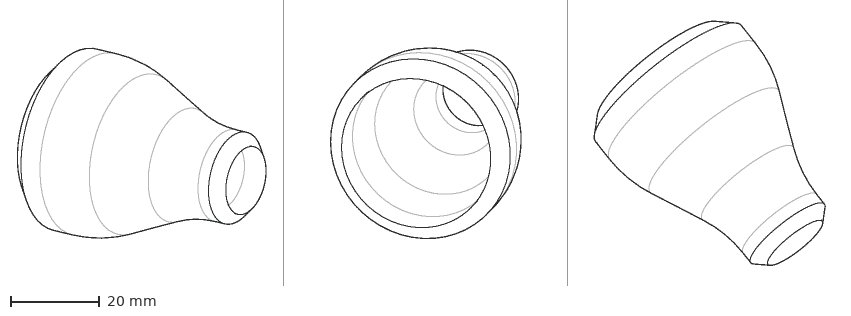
import cadquery as cq
import math

length = 51.0
large_outer_radius = 21.09
small_outer_radius = 10.65
large_bore_radius = 17.5
small_bore_radius = 7.85

outer_large_neck_end = 8.85
outer_cone_start_x = 20.75
outer_cone_end_x = 33.25
outer_small_neck_start = 45.3
bore_large_neck_end = 9.2
bore_cone_start_x = 20.25
bore_cone_end_x = 33.9
bore_small_neck_start = 45.0

outer_cone_start_radius = 18.55
outer_cone_end_radius = 13.15
bore_cone_start_radius = 15.35
bore_cone_end_radius = 10.0

large_bevel = large_outer_radius - large_bore_radius
small_bevel = small_outer_radius - small_bore_radius


def bend_middle(neck_point, cone_point):
    """Middle of the arc that leaves the neck parallel to the axis and ends at the cone."""
    run = cone_point[0] - neck_point[0]
    rise = cone_point[1] - neck_point[1]
    bend_radius = (run**2 + rise**2) / (2 * abs(rise))
    half_turn = math.atan2(abs(rise), abs(run))
    return (
        neck_point[0] + math.copysign(bend_radius * math.sin(half_turn), run),
        neck_point[1] + math.copysign(bend_radius * (1 - math.cos(half_turn)), rise),
    )


outer_large = (outer_large_neck_end, large_outer_radius)
outer_cone_start = (outer_cone_start_x, outer_cone_start_radius)
outer_cone_end = (outer_cone_end_x, outer_cone_end_radius)
outer_small = (outer_small_neck_start, small_outer_radius)
bore_large = (bore_large_neck_end, large_bore_radius)
bore_cone_start = (bore_cone_start_x, bore_cone_start_radius)
bore_cone_end = (bore_cone_end_x, bore_cone_end_radius)
bore_small = (bore_small_neck_start, small_bore_radius)

wall_profile = (
    cq.Workplane("XY")
    .moveTo(0, large_bore_radius)
    .lineTo(large_bevel, large_outer_radius)
    .lineTo(*outer_large)
    .threePointArc(bend_middle(outer_large, outer_cone_start), outer_cone_start)
    .lineTo(*outer_cone_end)
    .threePointArc(bend_middle(outer_small, outer_cone_end), outer_small)
    .lineTo(length - small_bevel, small_outer_radius)
    .lineTo(length, small_bore_radius)
    .lineTo(*bore_small)
    .threePointArc(bend_middle(bore_small, bore_cone_end), bore_cone_end)
    .lineTo(*bore_cone_start)
    .threePointArc(bend_middle(bore_large, bore_cone_start), bore_large)
    .close()
)

result = wall_profile.revolve(360, (0, 0, 0), (1, 0, 0))